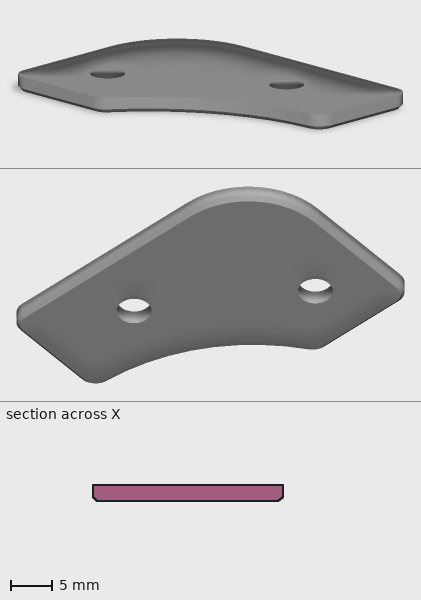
import cadquery as cq

length = 39.8
width = 28.4
thickness = 2.0
bottom_chamfer = 0.5

large_corner_radius = 11.15
small_corner_radius = 2.2

scoop_radius = 28.35
scoop_center = (39.0, -15.5)

hole_diameter = 4.2
hole_centers = [(8.28, 8.28), (27.0, 20.1)]


def make_blank():
    """Rectangular plate with the circular scoop removed, corners still sharp."""
    plate = cq.Workplane("XY").rect(length, width, centered=False).extrude(thickness)
    scoop = cq.Workplane("XY").center(*scoop_center).circle(scoop_radius).extrude(thickness)
    return plate.cut(scoop)


def round_corners(plate):
    """Large round at the upper left corner, small rounds at the other four."""
    upper_left = cq.selectors.NearestToPointSelector((0, width, thickness / 2))
    plate = plate.edges("|Z").edges(upper_left).fillet(large_corner_radius)
    lower_left = plate.edges("|Z and <X").edges("<Y")
    lower_scoop_end = plate.edges("|Z and <Y").edges(">X")
    right_corners = plate.edges("|Z and >X")
    sharp_corners = lower_left.add(lower_scoop_end).add(right_corners)
    return plate.newObject(sharp_corners.vals()).fillet(small_corner_radius)


result = round_corners(make_blank())
result = result.faces("<Z").chamfer(bottom_chamfer)
result = (
    result.faces(">Z").workplane(origin=(0, 0, thickness))
    .pushPoints(hole_centers)
    .hole(hole_diameter)
)